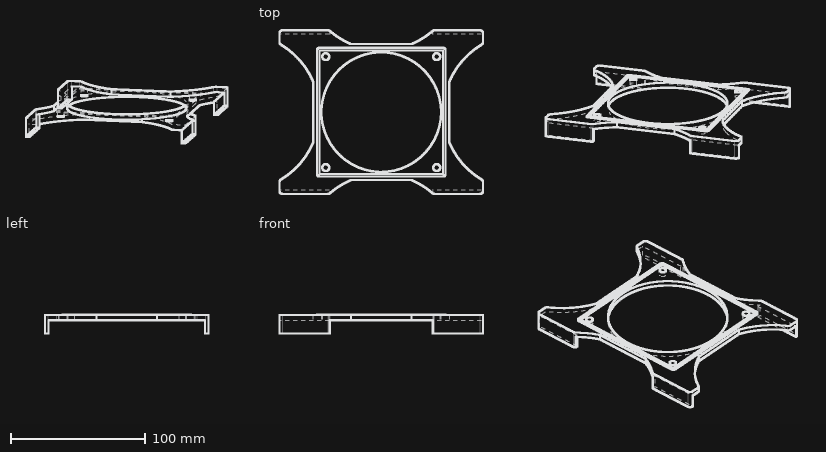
import cadquery as cq

length = 152.0
width = 122.0
plate_thickness = 4.1
plate_top = 14.0

waist = 101.5
relief_radius = 58.4
relief_center = 104.5
corner_radius = 2.5

wall_thickness = 2.9
wall_gap = 76.6

rim_outer = 96.0
rim_width = 2.0
rim_height = 0.3
rim_bevel = 0.23

opening_diameter = 89.0
screw_diameter = 5.0
screw_spacing = 82.7


def make_outline(height):
    """X-shaped frame outline with rounded arm corners, extruded up from Z = 0."""
    relief_centers = [
        (relief_center, 0),
        (-relief_center, 0),
        (0, relief_center),
        (0, -relief_center),
    ]
    blank = cq.Workplane("XY").rect(length, width).extrude(height)
    reliefs = cq.Workplane("XY").pushPoints(relief_centers).circle(relief_radius).extrude(height)
    core = cq.Workplane("XY").rect(waist, waist).extrude(height)
    outline = blank.cut(reliefs.cut(core))

    outer_edges = outline.edges("|Z").filter(
        lambda edge: abs(abs(edge.Center().x) - length / 2) < 0.02
        or abs(abs(edge.Center().y) - width / 2) < 0.02
    )
    return outer_edges.fillet(corner_radius)


def make_frame():
    """Plate with a downward wall along the outer Y edge of each arm."""
    outline = make_outline(plate_top)
    wall_height = plate_top - plate_thickness
    inside_walls = cq.Workplane("XY").rect(length, width - 2 * wall_thickness).extrude(wall_height)
    between_walls = cq.Workplane("XY").rect(wall_gap, width).extrude(wall_height)
    return outline.cut(inside_walls).cut(between_walls)


def make_rim():
    """Low square rim with rounded outer corners and a bevelled outer edge."""
    rim_inner = rim_outer - 2 * rim_width
    rim = (
        cq.Workplane("XY", origin=(0, 0, plate_top))
        .rect(rim_outer, rim_outer)
        .extrude(rim_height)
        .edges("|Z")
        .fillet(rim_width)
        .faces(">Z")
        .edges()
        .chamfer(rim_bevel)
    )
    recess = cq.Workplane("XY", origin=(0, 0, plate_top)).rect(rim_inner, rim_inner).extrude(rim_height)
    return rim.cut(recess)


def make_openings():
    """Large central bore and the four screw holes around it."""
    bore = cq.Workplane("XY").circle(opening_diameter / 2).extrude(plate_top)
    screws = (
        cq.Workplane("XY")
        .rect(screw_spacing, screw_spacing, forConstruction=True)
        .vertices()
        .circle(screw_diameter / 2)
        .extrude(plate_top)
    )
    return bore.union(screws)


result = make_frame().union(make_rim()).cut(make_openings())